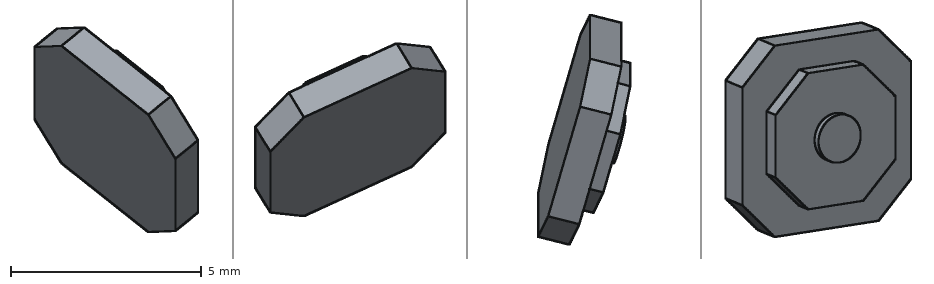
import cadquery as cq

base_width = 5.2
base_thickness = 0.85
step_width = 3.7
step_thickness = 0.45
corner_cut = 1.0
button_diameter = 1.3
button_height = 0.2

step_start = base_thickness
button_start = step_start + step_thickness


def clipped_square(width, thickness, start):
    """Square plate with four 45-degree clipped corners, growing along +Y from start."""
    plate = cq.Workplane("XY").box(width, thickness, width, centered=(True, False, True))
    return plate.edges("|Y").chamfer(corner_cut).translate((0, start, 0))


def button():
    """Round button on the back of the step, with its axis along Y."""
    disc = cq.Workplane("XZ").circle(button_diameter / 2).extrude(-button_height)
    return disc.translate((0, button_start, 0))


base = clipped_square(base_width, base_thickness, 0)
step = clipped_square(step_width, step_thickness, step_start)

result = base.union(step).union(button())